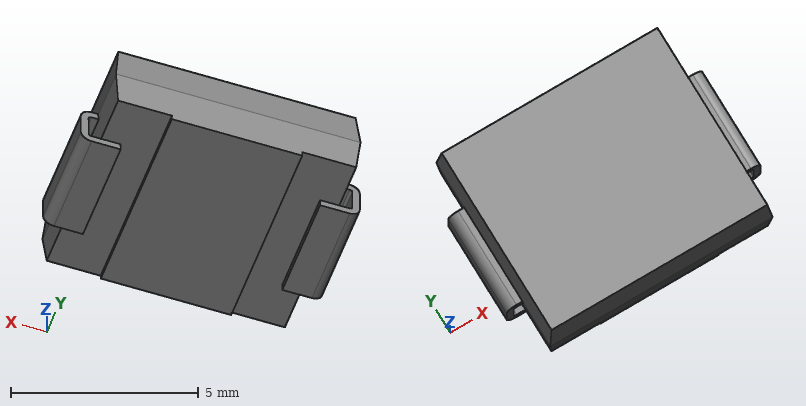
import cadquery as cq

overall_length = 7.9
body_width = 5.9
overall_height = 2.41

body_length = 6.92
parting_height = 1.265
body_bottom = 0.11
edge_inset = 0.1

pad_length = 3.69
rebate_top = 0.245

lead_width = 3.025
lead_thickness = 0.22
bend_outer_radius = 0.3
bend_inner_radius = bend_outer_radius - lead_thickness
foot_length = 1.13

face_length = body_length - 2 * edge_inset
face_width = body_width - 2 * edge_inset


def tapered_half(end_height):
    """Body half from the parting plane to its smaller flat face."""
    return (
        cq.Workplane("XY")
        .workplane(offset=parting_height)
        .rect(body_length, body_width)
        .workplane(offset=end_height - parting_height)
        .rect(face_length, face_width)
        .loft(ruled=True)
    )


def make_left_rebate():
    """Step across the full width, from the left body end to the pad."""
    rebate_length = (body_length - pad_length) / 2
    return (
        cq.Workplane("XY")
        .box(rebate_length, body_width, rebate_top - body_bottom, centered=(False, True, False))
        .translate((-body_length / 2, 0, body_bottom))
    )


def left_lead_block(margin, corner_radius):
    """Block filling the lead outline less a margin, rounded along its left edges."""
    left_x = -overall_length / 2 + margin
    right_x = -overall_length / 2 + foot_length
    height = parting_height - 2 * margin
    return (
        cq.Workplane("XY")
        .box(right_x - left_x, lead_width, height, centered=(False, True, False))
        .translate((left_x, 0, margin))
        .edges("|Y and <X")
        .fillet(corner_radius)
    )


def make_left_lead():
    """Strip leaving the body at the parting plane and folded under it."""
    outside = left_lead_block(0, bend_outer_radius)
    opening = left_lead_block(lead_thickness, bend_inner_radius)
    return outside.cut(opening)


body = tapered_half(overall_height).union(tapered_half(body_bottom))
left_rebate = make_left_rebate()
left_lead = make_left_lead()

result = (
    body
    .cut(left_rebate)
    .cut(left_rebate.mirror("YZ"))
    .union(left_lead)
    .union(left_lead.mirror("YZ"))
)